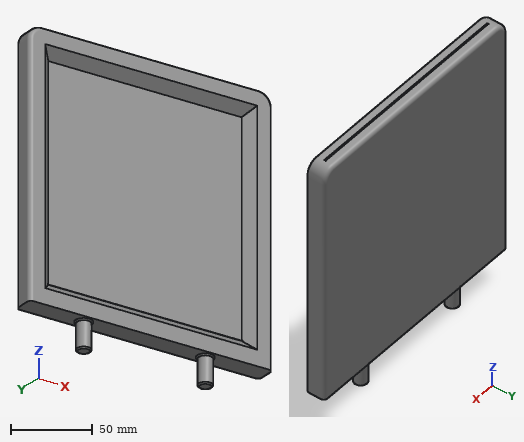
import cadquery as cq

frame_width = 180.0
frame_height = 189.74
frame_thickness = 15.0
corner_radius = 10.0
edge_radius = 3.0

window_side_margin = 11.5
window_top_margin = 11.5
window_bottom_margin = 11.24
window_depth = frame_thickness / 2
window_taper = window_depth
window_width = frame_width - 2 * window_side_margin
window_height = frame_height - window_top_margin - window_bottom_margin

slit_length = frame_width - 2 * corner_radius
slit_width = 1.0
slit_bottom = window_bottom_margin + window_taper
slit_depth = frame_height - slit_bottom

pin_diameter = 9.8
pin_length = 20.0
pin_spacing = 90.0
pin_tip_chamfer = 1.0
pin_root_flare = 1.0


def make_frame():
    """Upright plate, rounded at the two top corners and along its outer edges."""
    plate = cq.Workplane("XY").box(
        frame_width, frame_thickness, frame_height, centered=(True, True, False)
    )
    plate = plate.edges("|Y and >Z").fillet(corner_radius)
    outer_edges = plate.faces("<Y or >Y").edges("not <Z")
    return outer_edges.fillet(edge_radius)


def make_window():
    """Rectangular pyramid frustum that narrows from the front face inwards."""
    front_y = -frame_thickness / 2
    center_z = window_bottom_margin + window_height / 2
    return (
        cq.Workplane("XZ", origin=(0, front_y, center_z))
        .rect(window_width, window_height)
        .workplane(offset=-window_depth)
        .rect(window_width - 2 * window_taper, window_height - 2 * window_taper)
        .loft(ruled=True)
    )


def make_slit():
    """Thin upright slit at mid thickness that passes behind the window."""
    return cq.Workplane("XY", origin=(0, 0, slit_bottom)).box(
        slit_length, slit_width, slit_depth, centered=(True, True, False)
    )


def make_pin(x):
    """Round pin with a chamfered tip and a conical flare at its root."""
    pin_radius = pin_diameter / 2
    shank = cq.Workplane("XY", origin=(x, 0, 0)).circle(pin_radius).extrude(-pin_length)
    shank = shank.faces("<Z").chamfer(pin_tip_chamfer)
    flare = (
        cq.Workplane("XY", origin=(x, 0, 0))
        .circle(pin_radius + pin_root_flare)
        .workplane(offset=-pin_root_flare)
        .circle(pin_radius)
        .loft()
    )
    return shank.union(flare)


result = make_frame().cut(make_window()).cut(make_slit())
for side in (-1, 1):
    result = result.union(make_pin(side * pin_spacing / 2))